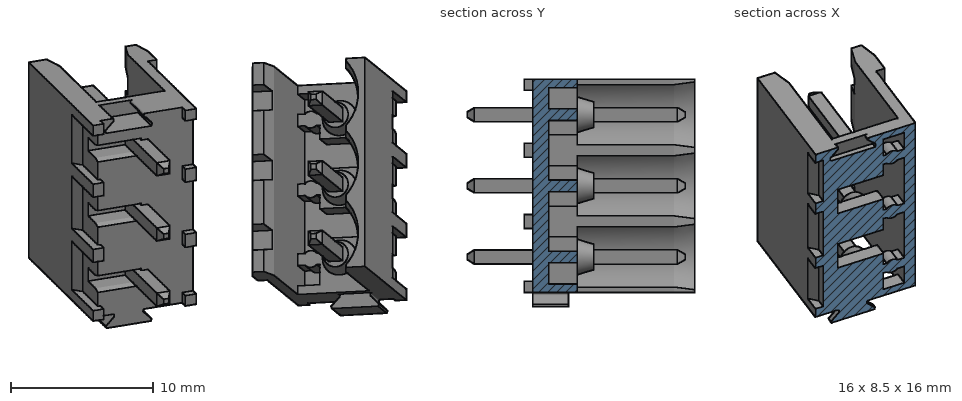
import cadquery as cq


POLE_COUNT = 3
PITCH = 5.0
HOUSING_HEIGHT = POLE_COUNT * PITCH
POLE_HEIGHTS = [(i + 0.5) * PITCH for i in range(POLE_COUNT)]
DIVIDER_HEIGHTS = [i * PITCH for i in range(1, POLE_COUNT)]

BASE_FRONT = 8.25
BASE_BACK = 11.4
RIB_BACK = 12.0
LEAD_IN_LENGTH = 1.45
HOOK_BACK = 3.0

FRONT_WALL_INNER = 1.77
FRONT_WALL_TIP = 1.37
FRONT_RIB_INNER = 0.8
LATCH_WALL_INNER = 6.95
LATCH_WALL_OUTER = 7.83
LATCH_RIB_INNER = 7.0
HOOK_TIP_INNER = 7.34
HOOK_TIP_OUTER = 8.14
HOOK_OUTER = 8.5
HOOK_SLOPE_LENGTH = 1.4

END_RIB_HEIGHT = 0.8
MIDDLE_RIB_HEIGHT = 1.0
BAY_START = 8.0
BAY_DEPTH = 0.6

PIN_SIDE = 1.0
PIN_TIP_SIDE = 0.38
PIN_Y = 3.9
PIN_FRONT = 0.68
PIN_BACK = 16.0
PIN_FRONT_TAPER = 0.54
PIN_BACK_TAPER = 0.5
BOSS_FRONT = 7.1
BOSS_FRONT_RADIUS = 0.9
BOSS_BASE_RADIUS = 1.25

PIN_SLOT_START = 9.6
PIN_SLOT_FLARE_LENGTH = 0.45
PIN_SLOT_FLARE = 0.14

SCALLOP_RADIUS = 3.0
SCALLOP_MOUTH_RADIUS = 3.42

NOTCH_DEPTH = 1.17
NOTCH_FLOOR_HEIGHT = 1.36
NOTCH_MOUTH_HEIGHT = 1.84

POCKET_DEPTH = 2.0
POCKET_EDGE_MARGIN = 0.62
POCKET_INNER_Y = 5.33
DIVIDER_POCKET_HEIGHT = 2.15
POLE_NECK_HEIGHT = 0.84
NECK_POST_RADIUS = 0.6
NECK_POST_Y = 6.0

DOVETAIL_FRONT = 8.87
DOVETAIL_Y = 2.95
DOVETAIL_HEIGHT = 1.0
DOVETAIL_NECK_HALF = 1.09
DOVETAIL_ROOT_ROUND = 0.13
DOVETAIL_FLARE = 0.65
DOVETAIL_CORNER_SETBACK = 0.06
GROOVE_CLEARANCE = 0.04


def box(x_range, y_range, z_range):
    """Axis-aligned block between the given limits."""
    size = [high - low for low, high in (x_range, y_range, z_range)]
    corner = (x_range[0], y_range[0], z_range[0])
    return cq.Workplane("XY").box(*size, centered=False).translate(corner)


def round_frustum(z, start, end, start_radius, end_radius):
    """Solid of revolution about the axis of the pin at height z."""
    outline = [(start, 0), (start, start_radius), (end, end_radius), (end, 0)]
    solid = cq.Workplane("XY").polyline(outline).close().revolve(360, (0, 0), (1, 0))
    return solid.translate((0, PIN_Y, z))


def housing_body():
    """Two walls joined by the base, with lead-in slopes and a hook at the mouth."""
    outline = [
        (0, 0),
        (RIB_BACK, 0),
        (RIB_BACK, FRONT_RIB_INNER),
        (BASE_BACK, FRONT_RIB_INNER),
        (BASE_BACK, LATCH_RIB_INNER),
        (RIB_BACK, LATCH_RIB_INNER),
        (RIB_BACK, LATCH_WALL_OUTER),
        (HOOK_BACK, LATCH_WALL_OUTER),
        (HOOK_BACK, HOOK_OUTER),
        (HOOK_SLOPE_LENGTH, HOOK_OUTER),
        (0, HOOK_TIP_OUTER),
        (0, HOOK_TIP_INNER),
        (LEAD_IN_LENGTH, LATCH_WALL_INNER),
        (BASE_FRONT, LATCH_WALL_INNER),
        (BASE_FRONT, FRONT_WALL_INNER),
        (LEAD_IN_LENGTH, FRONT_WALL_INNER),
        (0, FRONT_WALL_TIP),
    ]
    return cq.Workplane("XY").polyline(outline).close().extrude(HOUSING_HEIGHT)


def rear_bay(z):
    """Space between two ribs: a shallow sloped recess in front and a gap behind the base."""
    index = POLE_HEIGHTS.index(z)
    lower_rib = END_RIB_HEIGHT if index == 0 else MIDDLE_RIB_HEIGHT / 2
    upper_rib = END_RIB_HEIGHT if index == POLE_COUNT - 1 else MIDDLE_RIB_HEIGHT / 2
    bottom = z - PITCH / 2 + lower_rib
    top = z + PITCH / 2 - upper_rib
    outline = [
        (BAY_START, 0),
        (BAY_START + BAY_DEPTH, BAY_DEPTH),
        (BASE_BACK, BAY_DEPTH),
        (BASE_BACK, HOOK_OUTER),
        (RIB_BACK, HOOK_OUTER),
        (RIB_BACK, 0),
    ]
    recess = cq.Workplane("XY").polyline(outline).close().extrude(top - bottom)
    return recess.translate((0, 0, bottom))


def pin_slot(z):
    """Slot from the bay floor to the pin, flared at the back of the base."""
    half = PIN_SIDE / 2
    flared_half = half + PIN_SLOT_FLARE
    flare_start = BASE_BACK - PIN_SLOT_FLARE_LENGTH
    outline = [
        (PIN_SLOT_START, z - half),
        (flare_start, z - half),
        (BASE_BACK, z - flared_half),
        (BASE_BACK, z + flared_half),
        (flare_start, z + half),
        (PIN_SLOT_START, z + half),
    ]
    return cq.Workplane("XZ").polyline(outline).close().extrude(-PIN_Y)


def scallop(z):
    """Round clearance in the front wall: a cone at the mouth, then a cylinder to the base."""
    mouth = round_frustum(z, 0, LEAD_IN_LENGTH, SCALLOP_MOUTH_RADIUS, SCALLOP_RADIUS)
    bore = round_frustum(z, LEAD_IN_LENGTH, BASE_FRONT, SCALLOP_RADIUS, SCALLOP_RADIUS)
    front_side = box((0, BASE_FRONT), (0, PIN_Y), (0, HOUSING_HEIGHT))
    return mouth.union(bore).intersect(front_side)


def hook_notch(z):
    """Tapered notch across the tip of the latch wall."""
    outline = [
        (0, z - NOTCH_MOUTH_HEIGHT / 2),
        (NOTCH_DEPTH, z - NOTCH_FLOOR_HEIGHT / 2),
        (NOTCH_DEPTH, z + NOTCH_FLOOR_HEIGHT / 2),
        (0, z + NOTCH_MOUTH_HEIGHT / 2),
    ]
    width = HOOK_OUTER - LATCH_WALL_INNER
    notch = cq.Workplane("XZ").polyline(outline).close().extrude(-width)
    return notch.translate((0, LATCH_WALL_INNER, 0))


def base_pockets():
    """Pockets beside the latch wall and between poles, leaving a necked island at each pin."""
    depth = (BASE_FRONT, BASE_FRONT + POCKET_DEPTH)
    latch_side = (POCKET_INNER_Y, LATCH_WALL_INNER)
    pockets = box(depth, latch_side, (POCKET_EDGE_MARGIN, HOUSING_HEIGHT - POCKET_EDGE_MARGIN))
    for z in POLE_HEIGHTS:
        neck = box(depth, latch_side, (z - POLE_NECK_HEIGHT / 2, z + POLE_NECK_HEIGHT / 2))
        post = cq.Workplane("YZ").center(NECK_POST_Y, z).circle(NECK_POST_RADIUS)
        post = post.extrude(POCKET_DEPTH).translate((BASE_FRONT, 0, 0))
        pockets = pockets.cut(neck).cut(post)
    for z in DIVIDER_HEIGHTS:
        heights = (z - DIVIDER_POCKET_HEIGHT / 2, z + DIVIDER_POCKET_HEIGHT / 2)
        pockets = pockets.union(box(depth, (FRONT_WALL_INNER, LATCH_WALL_INNER), heights))
    return pockets


def dovetail(clearance):
    """Dovetail hanging below Z = 0, enlarged by the clearance, with a rounded root."""
    neck = DOVETAIL_NECK_HALF + clearance
    root = neck + DOVETAIL_ROOT_ROUND
    foot = neck + DOVETAIL_FLARE
    diagonal = DOVETAIL_ROOT_ROUND * 0.5**0.5
    flare_top = -DOVETAIL_ROOT_ROUND - diagonal
    flank_start = root - diagonal
    foot_top = flare_top - (foot - flank_start)
    bottom = -DOVETAIL_HEIGHT - clearance
    corner = foot - DOVETAIL_CORNER_SETBACK
    profile = (
        cq.Workplane("YZ")
        .moveTo(-root, 0)
        .threePointArc((-neck, -DOVETAIL_ROOT_ROUND), (-flank_start, flare_top))
        .lineTo(-foot, foot_top)
        .lineTo(-corner, bottom)
        .lineTo(corner, bottom)
        .lineTo(foot, foot_top)
        .lineTo(flank_start, flare_top)
        .threePointArc((neck, -DOVETAIL_ROOT_ROUND), (root, 0))
        .close()
    )
    return profile.extrude(BASE_BACK - DOVETAIL_FRONT).translate((DOVETAIL_FRONT, DOVETAIL_Y, 0))


def pin_tip(z, start, length):
    """Pyramidal pin end; a negative length points it toward -X."""
    plane = cq.Workplane("YZ", origin=(start, PIN_Y, z))
    tip = plane.rect(PIN_SIDE, PIN_SIDE).workplane(offset=length)
    return tip.rect(PIN_TIP_SIDE, PIN_TIP_SIDE).loft(ruled=True)


def pin(z):
    """Square pin with both ends tapered."""
    shank_start = PIN_FRONT + PIN_FRONT_TAPER
    shank_end = PIN_BACK - PIN_BACK_TAPER
    half = PIN_SIDE / 2
    shank = box((shank_start, shank_end), (PIN_Y - half, PIN_Y + half), (z - half, z + half))
    front_tip = pin_tip(z, shank_start, -PIN_FRONT_TAPER)
    return shank.union(front_tip).union(pin_tip(z, shank_end, PIN_BACK_TAPER))


result = housing_body().cut(base_pockets())
for pole_z in POLE_HEIGHTS:
    result = result.cut(scallop(pole_z)).cut(hook_notch(pole_z))
    result = result.cut(rear_bay(pole_z)).cut(pin_slot(pole_z))
result = result.cut(dovetail(GROOVE_CLEARANCE).translate((0, 0, HOUSING_HEIGHT)))
result = result.union(dovetail(0))
for pole_z in POLE_HEIGHTS:
    boss = round_frustum(pole_z, BOSS_FRONT, BASE_FRONT, BOSS_FRONT_RADIUS, BOSS_BASE_RADIUS)
    result = result.union(boss).union(pin(pole_z))